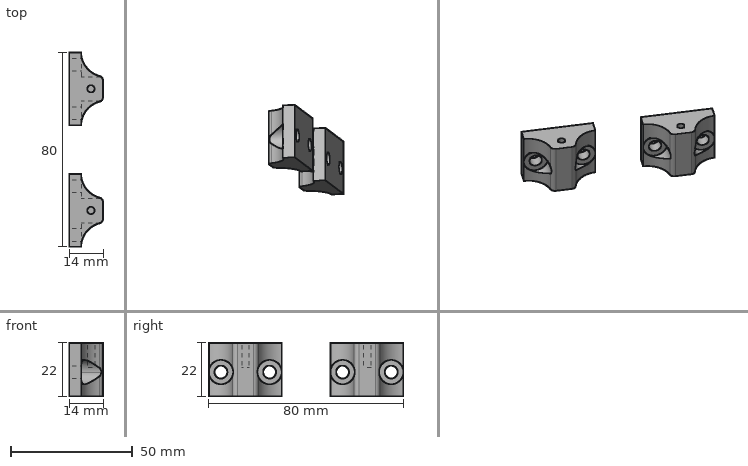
import cadquery as cq
import math

plate_thickness = 5.0
bracket_depth = 14.0
bracket_width = 30.0
bracket_height = 22.0
bracket_spacing = 50.0

flank_radius = 10.0
nose_radius = 2.0

screw_diameter = 5.2
screw_head_diameter = 10.0
screw_spacing = 20.0
screw_height = 10.0

top_hole_diameter = 3.0
top_hole_depth = 10.0
top_hole_x = 9.0

half_width = bracket_width / 2
flank_center_x = plate_thickness + flank_radius
flank_center_y = half_width

nose_center_x = bracket_depth - nose_radius
center_distance = flank_radius + nose_radius
center_offset_x = flank_center_x - nose_center_x
nose_center_y = flank_center_y - math.sqrt(center_distance**2 - center_offset_x**2)
blend_angle = math.atan2(flank_center_y - nose_center_y, center_offset_x)


def flank_point(angle):
    """Point on the +Y flank arc, at an angle measured from its -X direction towards -Y."""
    return (
        flank_center_x - flank_radius * math.cos(angle),
        flank_center_y - flank_radius * math.sin(angle),
    )


def nose_point(angle):
    """Point on the +Y nose corner, at an angle measured from +X towards +Y."""
    return (
        nose_center_x + nose_radius * math.cos(angle),
        nose_center_y + nose_radius * math.sin(angle),
    )


def mirrored(point):
    """The same point on the -Y half of the outline."""
    return (point[0], -point[1])


def make_body():
    """Solid outline without holes, standing on Z = 0 with its back on X = 0."""
    plate_end = flank_point(0)
    flank_middle = flank_point(blend_angle / 2)
    blend = flank_point(blend_angle)
    nose_middle = nose_point(blend_angle / 2)
    nose_end = nose_point(0)
    return (
        cq.Workplane("XY")
        .moveTo(0, -half_width)
        .lineTo(*mirrored(plate_end))
        .threePointArc(mirrored(flank_middle), mirrored(blend))
        .threePointArc(mirrored(nose_middle), mirrored(nose_end))
        .lineTo(*nose_end)
        .threePointArc(nose_middle, blend)
        .threePointArc(flank_middle, plate_end)
        .lineTo(0, half_width)
        .close()
        .extrude(bracket_height)
    )


def make_screw_cutter():
    """Both screw holes, widened to the head diameter in front of the plate."""
    centers = [(-screw_spacing / 2, screw_height), (screw_spacing / 2, screw_height)]
    shanks = (
        cq.Workplane("YZ")
        .pushPoints(centers)
        .circle(screw_diameter / 2)
        .extrude(bracket_depth)
    )
    heads = (
        cq.Workplane("YZ", origin=(plate_thickness, 0, 0))
        .pushPoints(centers)
        .circle(screw_head_diameter / 2)
        .extrude(bracket_depth - plate_thickness)
    )
    return shanks.union(heads)


def make_top_hole_cutter():
    """Blind hole down from the top face, on the middle plane."""
    return (
        cq.Workplane("XY", origin=(top_hole_x, 0, bracket_height))
        .circle(top_hole_diameter / 2)
        .extrude(-top_hole_depth)
    )


def make_bracket(center_y):
    """Finished bracket, centred on the given Y."""
    bracket = make_body().cut(make_screw_cutter()).cut(make_top_hole_cutter())
    return bracket.translate((0, center_y, 0))


bracket_centers = [-bracket_spacing / 2, bracket_spacing / 2]
brackets = [make_bracket(center_y) for center_y in bracket_centers]

result = cq.Compound.makeCompound([bracket.solids().val() for bracket in brackets])